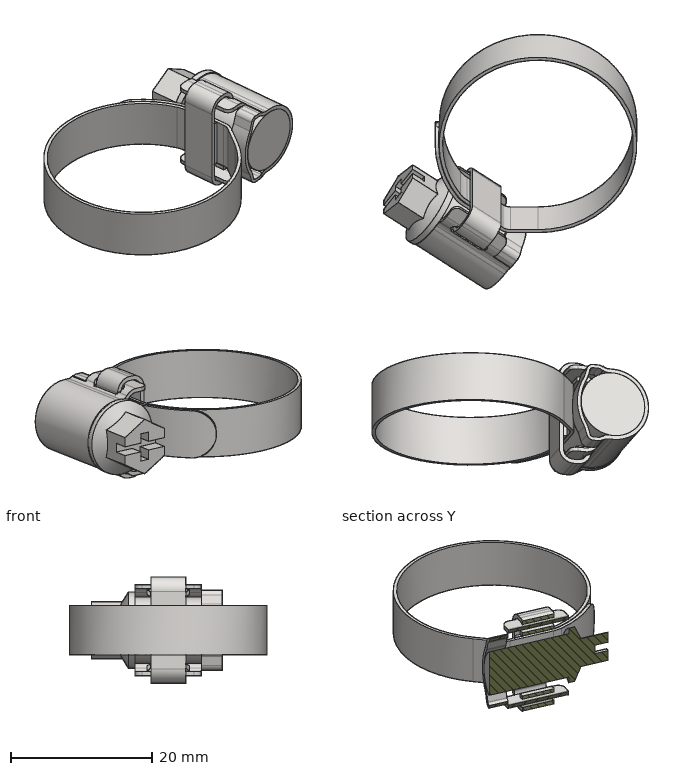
import cadquery as cq
import math


TOTAL_Y = 38.2
BAND_DIAMETER = 28.0
BAND_WIDTH = 7.03
BAND_THICKNESS = 0.5
LAYER_GAP = 0.08
TANGENT_ANGLE = 35.7
TAIL_TIP_ANGLE = 150.0
MOUTH_BEND_RADIUS = 1.9
SEAT_BEND_RADIUS = 3.82

SHEET = 0.57
ARCH_RADIUS = 5.27
ARCH_LENGTH = 12.4

FLANGE_DIAMETER = 10.85
FLANGE_WIDTH = 0.9
FLANGE_BACK_X = -4.75
CONE_LENGTH = 1.2
HEX_ACROSS_FLATS = 7.03
HEX_TIP_X = -10.9
SLOT_DEPTH = 2.02
LONG_SLOT_WIDTH = 1.3
CROSS_SLOT_WIDTH = 1.4
CROSS_SLOT_LENGTH = 4.05

FLARE_START_Y = 18.1
FLARE_END_Y = 15.62
WING_TIP_Y = 13.5
WING_TOP_Z = 6.45
FLARE_INNER_RADIUS = 1.15
WING_END_X = 4.7
WING_CORNER_RADIUS = 1.05
WING_TRIM_Y = 17.35

WINDOW_LENGTH = 6.05
WINDOW_TOP_Y = 17.55
WINDOW_BOTTOM_Y = 15.95
WINDOW_CORNER = 0.5

SADDLE_SHEET = 0.5
SADDLE_LIP_Z = 5.42
SADDLE_SIDE_Z = 5.7
SADDLE_SIDE_TOP_Y = 16.65
SADDLE_SIDE_BOTTOM_Y = 15.85
SADDLE_LIP_RADIUS = 1.2
SADDLE_BEND_RADIUS = 0.9
SADDLE_KNEE = (14.95, 5.0)
SADDLE_HEEL = (14.55, 3.75)
SADDLE_BOTTOM_Y = 13.52

STRAP_WIDTH = 4.95
STRAP_THICKNESS = 0.6
STRAP_HEIGHT = 15.1
STRAP_BEND_RADIUS = 2.05
STRAP_TOP_FLAT = 0.6
STRAP_HOOK_END_Y = 15.0

BAND_RADIUS = BAND_DIAMETER / 2
BAND_INNER_RADIUS = BAND_RADIUS - BAND_THICKNESS
TAIL_INNER_RADIUS = BAND_RADIUS + LAYER_GAP
TAIL_OUTER_RADIUS = TAIL_INNER_RADIUS + BAND_THICKNESS
FLANGE_RADIUS = FLANGE_DIAMETER / 2
AXIS_Y = TOTAL_Y - BAND_RADIUS - FLANGE_RADIUS
SHAFT_RADIUS = ARCH_RADIUS - SHEET
HOUSING_END_X = FLANGE_BACK_X + ARCH_LENGTH

TAIL_TOP_Y = AXIS_Y - SHAFT_RADIUS
TAIL_BOTTOM_Y = TAIL_TOP_Y - BAND_THICKNESS
LAYER_TOP_Y = TAIL_BOTTOM_Y - LAYER_GAP
LAYER_BOTTOM_Y = LAYER_TOP_Y - BAND_THICKNESS


def extrude_x(sketch, x_start, x_end):
    """Place an extruded YZ outline between two X positions."""
    return sketch.extrude(x_end - x_start).translate((x_start, 0, 0))


def block(x_range, y_range, z_range):
    """Box given by its limits along each axis."""
    size = [high - low for low, high in (x_range, y_range, z_range)]
    return cq.Workplane("XY").box(*size, centered=False).translate((x_range[0], y_range[0], z_range[0]))


def on_circle(radius, degrees):
    angle = math.radians(degrees)
    return (radius * math.cos(angle), radius * math.sin(angle))


def left_on_circle(radius, y):
    """Point of a band circle at height y, on the -X side."""
    return (-math.sqrt(radius**2 - y**2), y)


def angle_between(start, end):
    """Mean polar angle of two points, in degrees."""
    angles = [math.degrees(math.atan2(y, x)) for x, y in (start, end)]
    return sum(angles) / 2


def make_band():
    tangent = math.radians(TANGENT_ANGLE)

    def tangent_point(radius):
        return (radius * math.sin(tangent), radius * math.cos(tangent))

    def bend_corner(radius, y):
        """Where the tangent line of the given circle reaches height y."""
        return ((radius - y * math.cos(tangent)) / math.sin(tangent), y)

    round_radius = BAND_WIDTH / 2
    round_angle = TAIL_TIP_ANGLE - math.degrees(math.asin(round_radius / TAIL_OUTER_RADIUS))
    layer_end_x = STRAP_WIDTH / 2

    top_corner = bend_corner(BAND_RADIUS, TAIL_TOP_Y)
    bottom_corner = bend_corner(BAND_INNER_RADIUS, TAIL_BOTTOM_Y)
    layer_top = left_on_circle(BAND_RADIUS, LAYER_TOP_Y)
    layer_bottom = left_on_circle(BAND_INNER_RADIUS, LAYER_BOTTOM_Y)
    tail_top = left_on_circle(TAIL_OUTER_RADIUS, TAIL_TOP_Y)
    tail_bottom = left_on_circle(TAIL_INNER_RADIUS, TAIL_BOTTOM_Y)
    tail_end_outer = on_circle(TAIL_OUTER_RADIUS, round_angle)
    tail_end_inner = on_circle(TAIL_INNER_RADIUS, round_angle)
    band = (
        cq.Workplane("XY")
        .moveTo(layer_end_x, LAYER_TOP_Y)
        .lineTo(*layer_top)
        .threePointArc((0, -BAND_RADIUS), tangent_point(BAND_RADIUS))
        .lineTo(*top_corner)
        .lineTo(*tail_top)
        .threePointArc(on_circle(TAIL_OUTER_RADIUS, angle_between(tail_top, tail_end_outer)), tail_end_outer)
        .lineTo(*tail_end_inner)
        .threePointArc(on_circle(TAIL_INNER_RADIUS, angle_between(tail_end_inner, tail_bottom)), tail_bottom)
        .lineTo(*bottom_corner)
        .lineTo(*tangent_point(BAND_INNER_RADIUS))
        .threePointArc((0, -BAND_INNER_RADIUS), layer_bottom)
        .lineTo(layer_end_x, LAYER_BOTTOM_Y)
        .close()
        .extrude(BAND_WIDTH / 2, both=True)
    )
    bends = (
        (bottom_corner, MOUTH_BEND_RADIUS),
        (top_corner, MOUTH_BEND_RADIUS + BAND_THICKNESS),
        (tail_bottom, SEAT_BEND_RADIUS),
        (tail_top, SEAT_BEND_RADIUS + BAND_THICKNESS),
        (layer_bottom, SEAT_BEND_RADIUS),
        (layer_top, SEAT_BEND_RADIUS + BAND_THICKNESS),
    )
    for corner, radius in bends:
        band = band.edges(cq.NearestToPointSelector((*corner, 0))).fillet(radius)

    tip_end = on_circle(TAIL_OUTER_RADIUS, TAIL_TIP_ANGLE)
    tip = (
        cq.Workplane("XY")
        .moveTo(*tail_end_inner)
        .lineTo(*tail_end_outer)
        .threePointArc(on_circle(TAIL_OUTER_RADIUS, angle_between(tail_end_outer, tip_end)), tip_end)
        .lineTo(*on_circle(TAIL_INNER_RADIUS, TAIL_TIP_ANGLE))
        .threePointArc(on_circle(TAIL_INNER_RADIUS, angle_between(tail_end_outer, tip_end)), tail_end_inner)
        .close()
        .extrude(BAND_WIDTH / 2, both=True)
    )
    radial = cq.Vector(*on_circle(1, round_angle), 0)
    reach = TAIL_OUTER_RADIUS + BAND_THICKNESS
    round_tool = cq.Solid.makeCylinder(round_radius, reach, cq.Vector(0, 0, 0), radial)
    return band.union(tip.intersect(cq.Workplane(round_tool)))


def make_screw(band):
    flange_front_x = FLANGE_BACK_X - FLANGE_WIDTH
    cone_front_x = flange_front_x - CONE_LENGTH
    turned = (
        cq.Workplane("XY")
        .moveTo(cone_front_x, 0)
        .lineTo(cone_front_x, HEX_ACROSS_FLATS / 2)
        .lineTo(flange_front_x, FLANGE_RADIUS)
        .lineTo(FLANGE_BACK_X, FLANGE_RADIUS)
        .lineTo(FLANGE_BACK_X, SHAFT_RADIUS)
        .lineTo(HOUSING_END_X, SHAFT_RADIUS)
        .lineTo(HOUSING_END_X, 0)
        .close()
        .revolve(360, (0, 0, 0), (1, 0, 0))
    )
    hexagon = (
        cq.Workplane("YZ")
        .polygon(6, HEX_ACROSS_FLATS, circumscribed=True)
        .extrude(flange_front_x - HEX_TIP_X)
        .translate((HEX_TIP_X, 0, 0))
    )
    slots = (
        cq.Workplane("YZ", origin=(HEX_TIP_X, 0, 0))
        .rect(FLANGE_DIAMETER, LONG_SLOT_WIDTH)
        .extrude(SLOT_DEPTH)
        .union(
            cq.Workplane("YZ", origin=(HEX_TIP_X, 0, 0))
            .rect(CROSS_SLOT_WIDTH, CROSS_SLOT_LENGTH)
            .extrude(SLOT_DEPTH)
        )
    )
    screw = turned.union(hexagon).cut(slots).translate((0, AXIS_Y, 0))
    return screw.cut(band)


def make_folded_sheet():
    """Arch over the screw whose sides flare out into flat wings."""
    flare_run = FLARE_START_Y - FLARE_END_Y
    flare_rise = WING_TOP_Z - ARCH_RADIUS
    radius_sum = (flare_run**2 + flare_rise**2) / (2 * flare_rise)
    flare_angle = math.asin(flare_run / radius_sum)

    def solid_outline(inset):
        """Region under the folded sheet, with its face moved inwards by inset."""
        arch = ARCH_RADIUS - inset
        concave = FLARE_INNER_RADIUS + inset
        convex = radius_sum - FLARE_INNER_RADIUS - inset
        wing = WING_TOP_Z - inset
        inflection_y = FLARE_START_Y - concave * math.sin(flare_angle)
        inflection_z = arch + concave * (1 - math.cos(flare_angle))
        return (
            cq.Workplane("YZ")
            .moveTo(WING_TIP_Y, -wing)
            .lineTo(FLARE_END_Y, -wing)
            .radiusArc((inflection_y, -inflection_z), -convex)
            .radiusArc((FLARE_START_Y, -arch), concave)
            .lineTo(AXIS_Y, -arch)
            .threePointArc((AXIS_Y + arch, 0), (AXIS_Y, arch))
            .lineTo(FLARE_START_Y, arch)
            .radiusArc((inflection_y, inflection_z), concave)
            .radiusArc((FLARE_END_Y, wing), -convex)
            .lineTo(WING_TIP_Y, wing)
            .close()
        )

    outside = extrude_x(solid_outline(0), FLANGE_BACK_X, HOUSING_END_X)
    inside = extrude_x(solid_outline(SHEET), FLANGE_BACK_X, HOUSING_END_X)
    return outside.cut(inside)


def trim_wings(sheet):
    """Shorten the wings, round their corners and cut the strap windows."""
    z_range = (-STRAP_HEIGHT, STRAP_HEIGHT)
    trim = block((WING_END_X, HOUSING_END_X), (WING_TIP_Y, WING_TRIM_Y), z_range)
    window = (
        block((-WINDOW_LENGTH / 2, WINDOW_LENGTH / 2), (WINDOW_BOTTOM_Y, WINDOW_TOP_Y), z_range)
        .edges("|Z")
        .chamfer(WINDOW_CORNER)
    )
    sheet = sheet.cut(trim)
    for x in (FLANGE_BACK_X, WING_END_X):
        for z in (-WING_TOP_Z, WING_TOP_Z):
            corner = cq.NearestToPointSelector((x, WING_TIP_Y, z - math.copysign(SHEET / 2, z)))
            sheet = sheet.edges("|Z").edges(corner).fillet(WING_CORNER_RADIUS)
    return sheet.cut(window)


def saddle_outline():
    """Outer face of the trough, closed across the screw axis."""
    knee_y, knee_z = SADDLE_KNEE
    heel_y, heel_z = SADDLE_HEEL
    return (
        cq.Workplane("YZ")
        .moveTo(AXIS_Y, SADDLE_LIP_Z)
        .lineTo(WING_TRIM_Y, SADDLE_LIP_Z)
        .radiusArc((SADDLE_SIDE_TOP_Y, SADDLE_SIDE_Z), -SADDLE_LIP_RADIUS)
        .lineTo(SADDLE_SIDE_BOTTOM_Y, SADDLE_SIDE_Z)
        .radiusArc((knee_y, knee_z), -SADDLE_BEND_RADIUS)
        .lineTo(heel_y, heel_z)
        .threePointArc((SADDLE_BOTTOM_Y, 0), (heel_y, -heel_z))
        .lineTo(knee_y, -knee_z)
        .radiusArc((SADDLE_SIDE_BOTTOM_Y, -SADDLE_SIDE_Z), -SADDLE_BEND_RADIUS)
        .lineTo(SADDLE_SIDE_TOP_Y, -SADDLE_SIDE_Z)
        .radiusArc((WING_TRIM_Y, -SADDLE_LIP_Z), -SADDLE_LIP_RADIUS)
        .lineTo(AXIS_Y, -SADDLE_LIP_Z)
        .close()
    )


def make_saddle():
    """Sheet trough that closes the rear of the housing under the screw."""
    outside = extrude_x(saddle_outline(), WING_END_X, HOUSING_END_X)
    inside = extrude_x(saddle_outline().offset2D(-SADDLE_SHEET), WING_END_X, HOUSING_END_X)
    above = block((WING_END_X, HOUSING_END_X), (WING_TRIM_Y, AXIS_Y), (-STRAP_HEIGHT, STRAP_HEIGHT))
    return outside.cut(inside).cut(above)


def make_housing(band):
    housing = trim_wings(make_folded_sheet()).union(make_saddle())
    return housing.cut(band)


def make_strap():
    """C-shaped loop around band and wings whose ends hook inwards through the windows."""
    inner_y = LAYER_BOTTOM_Y
    outer_y = inner_y - STRAP_THICKNESS
    outer_z = STRAP_HEIGHT / 2
    inner_z = outer_z - STRAP_THICKNESS
    bend_z = outer_z - STRAP_BEND_RADIUS
    inner_radius = STRAP_BEND_RADIUS - STRAP_THICKNESS
    flat_low_y = outer_y + STRAP_BEND_RADIUS
    flat_high_y = flat_low_y + STRAP_TOP_FLAT
    hook_z = bend_z - STRAP_THICKNESS
    half = (
        cq.Workplane("YZ")
        .moveTo(outer_y, 0)
        .lineTo(outer_y, bend_z)
        .radiusArc((flat_low_y, outer_z), STRAP_BEND_RADIUS)
        .lineTo(flat_high_y, outer_z)
        .radiusArc((flat_high_y + STRAP_BEND_RADIUS, bend_z), STRAP_BEND_RADIUS)
        .lineTo(flat_high_y + STRAP_BEND_RADIUS, hook_z)
        .lineTo(STRAP_HOOK_END_Y, hook_z)
        .lineTo(STRAP_HOOK_END_Y, bend_z)
        .lineTo(flat_high_y + inner_radius, bend_z)
        .radiusArc((flat_high_y, inner_z), -inner_radius)
        .lineTo(flat_low_y, inner_z)
        .radiusArc((inner_y, bend_z), -inner_radius)
        .lineTo(inner_y, 0)
        .close()
    )
    upper = extrude_x(half, -STRAP_WIDTH / 2, STRAP_WIDTH / 2)
    return upper.union(upper.mirror("XY"))


band = make_band()
screw = make_screw(band)
housing = make_housing(band)
strap = make_strap()
result = cq.Compound.makeCompound([body.solids().val() for body in (band, screw, housing, strap)])